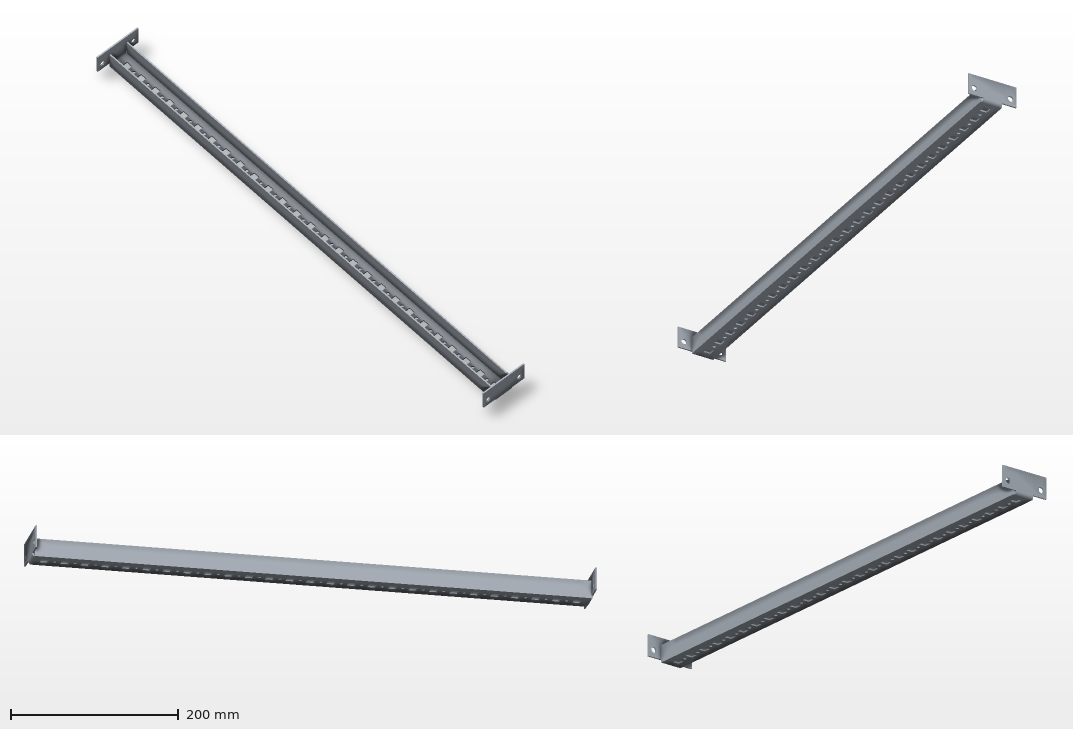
import cadquery as cq

overall_length = 685.0
overall_width = 66.0
overall_height = 32.4

sheet = 1.9
channel_width = 29.4
channel_height = 22.5
flange_end_gap = 1.0
flange_length = overall_length - 2 * (sheet + flange_end_gap)
web_width = channel_width - 2 * sheet

bend_inner_radius = 2.0
bend_outer_radius = bend_inner_radius + sheet
plate_bottom = 4.3
plate_height = overall_height - plate_bottom
plate_hole_diameter = 7.2
plate_hole_spacing = 50.0
plate_hole_height = 14.0

hole_pitch = 25.0
large_hole_count = 27
small_hole_count = large_hole_count - 1
large_hole_size = 9.0
small_hole_diameter = 4.2


def standing_block(length, width, height, bottom=0.0):
    """Box centred on the Z axis with its lower face at Z = bottom."""
    return cq.Workplane("XY", origin=(0, 0, bottom)).box(
        length, width, height, centered=(True, True, False)
    )


def web_with_bends():
    """Web strip along X whose two ends are bent upwards to meet the end plates."""
    outer = standing_block(overall_length, web_width, overall_height)
    outer = outer.edges("|Y and <Z").fillet(bend_outer_radius)
    inner = standing_block(overall_length - 2 * sheet, web_width, overall_height, sheet)
    inner = inner.edges("|Y and <Z").fillet(bend_inner_radius)
    return outer.cut(inner)


def flange(side):
    """Upright side wall that stops short of the end plates; side is -1 or +1."""
    center_y = side * (channel_width - sheet) / 2
    return standing_block(flange_length, sheet, channel_height).translate((0, center_y, 0))


def end_plate(side):
    """Mounting plate with two bolt holes at one end; side is -1 or +1."""
    center_x = side * (overall_length - sheet) / 2
    plate = standing_block(sheet, overall_width, plate_height, plate_bottom)
    holes = (
        cq.Workplane("YZ", origin=(0, 0, plate_hole_height))
        .rarray(plate_hole_spacing, 1, 2, 1)
        .circle(plate_hole_diameter / 2)
        .extrude(sheet, both=True)
    )
    return plate.cut(holes).translate((center_x, 0, 0))


def web_hole_row(count):
    """Workplane with hole centres spaced along the web, centred on the part."""
    return cq.Workplane("XY").rarray(hole_pitch, 1, count, 1)


large_holes = web_hole_row(large_hole_count).rect(large_hole_size, large_hole_size).extrude(sheet)
small_holes = web_hole_row(small_hole_count).circle(small_hole_diameter / 2).extrude(sheet)

result = web_with_bends()
for side in (-1, 1):
    result = result.union(flange(side)).union(end_plate(side))
result = result.cut(large_holes).cut(small_holes)